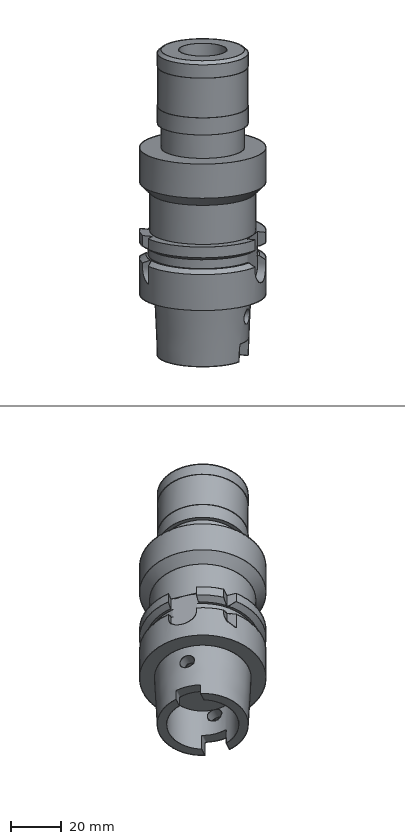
import cadquery as cq

TOTAL_HEIGHT = 125.0
FLANGE_RADIUS = 25.0
BODY_RADIUS = 21.0

TAPER_TOP_RADIUS = 19.1
TAPER_END_RADIUS = 18.0
SHANK_HEIGHT = 25.0
SHANK_BORE_RADIUS = 14.2

GROOVE_RADIUS = 21.6
GROOVE_BOTTOM_Z = 39.8
GROOVE_TOP_Z = 46.6
GROOVE_BEVEL_HEIGHT = 1.5
GROOVE_RIM_RADIUS = 22.5
FLANGE_TOP_Z = 51.0

COLLAR_CONE_START_Z = 67.0
COLLAR_CONE_END_Z = 71.0
COLLAR_TOP_Z = 85.0

NECK_RADIUS = 16.5
HEAD_RADIUS = 18.0
HEAD_WAIST_RADIUS = 17.9
HEAD_BOTTOM_Z = 95.0
HEAD_WAIST_BOTTOM_Z = 102.0
HEAD_WAIST_TOP_Z = 118.2
HEAD_CHAMFER_HEIGHT = 1.2
HEAD_CHAMFER_WIDTH = 1.5
TOOL_BORE_RADIUS = 9.5
TOOL_BORE_DEPTH = 50.0

SLOT_RADIUS = 5.9
SLOT_END_CENTER_Z = 38.0
NOTCH_WALL = 15.6

KEYWAY_WIDTH = 10.2
KEYWAY_CORNER_RADIUS = 0.6
KEYWAY_HEIGHT_NEGATIVE_X = 4.5
KEYWAY_HEIGHT_POSITIVE_X = 7.4
CROSS_HOLE_RADIUS = 3.0
CROSS_HOLE_Z = 17.5
SHANK_BORE_DEPTH = CROSS_HOLE_Z + CROSS_HOLE_RADIUS


def revolved_body():
    """Outer shape, from (radius, z) points turned about Z."""
    profile = [
        (0, 0),
        (TAPER_END_RADIUS, 0),
        (TAPER_TOP_RADIUS, SHANK_HEIGHT),
        (FLANGE_RADIUS, SHANK_HEIGHT),
        (FLANGE_RADIUS, GROOVE_BOTTOM_Z),
        (GROOVE_RIM_RADIUS, GROOVE_BOTTOM_Z + GROOVE_BEVEL_HEIGHT),
        (GROOVE_RADIUS, GROOVE_BOTTOM_Z + GROOVE_BEVEL_HEIGHT),
        (GROOVE_RADIUS, GROOVE_TOP_Z - GROOVE_BEVEL_HEIGHT),
        (GROOVE_RIM_RADIUS, GROOVE_TOP_Z - GROOVE_BEVEL_HEIGHT),
        (FLANGE_RADIUS, GROOVE_TOP_Z),
        (FLANGE_RADIUS, FLANGE_TOP_Z),
        (BODY_RADIUS, FLANGE_TOP_Z),
        (BODY_RADIUS, COLLAR_CONE_START_Z),
        (FLANGE_RADIUS, COLLAR_CONE_END_Z),
        (FLANGE_RADIUS, COLLAR_TOP_Z),
        (NECK_RADIUS, COLLAR_TOP_Z),
        (NECK_RADIUS, HEAD_BOTTOM_Z),
        (HEAD_RADIUS, HEAD_BOTTOM_Z),
        (HEAD_RADIUS, HEAD_WAIST_BOTTOM_Z),
        (HEAD_WAIST_RADIUS, HEAD_WAIST_BOTTOM_Z),
        (HEAD_WAIST_RADIUS, HEAD_WAIST_TOP_Z),
        (HEAD_RADIUS, HEAD_WAIST_TOP_Z),
        (HEAD_RADIUS, TOTAL_HEIGHT - HEAD_CHAMFER_HEIGHT),
        (HEAD_RADIUS - HEAD_CHAMFER_WIDTH, TOTAL_HEIGHT),
        (0, TOTAL_HEIGHT),
    ]
    return cq.Workplane("XZ").polyline(profile).close().revolve(360, (0, 0), (0, 1))


def flange_slot(floor_x, center_y):
    """Cutter for a round-ended slot, from its floor out past the flange on the same X side."""
    length = FLANGE_RADIUS if floor_x > 0 else -FLANGE_RADIUS
    return (
        cq.Workplane("YZ", origin=(floor_x, center_y, 0))
        .moveTo(-SLOT_RADIUS, FLANGE_TOP_Z)
        .lineTo(-SLOT_RADIUS, SLOT_END_CENTER_Z)
        .threePointArc((0, SLOT_END_CENTER_Z - SLOT_RADIUS), (SLOT_RADIUS, SLOT_END_CENTER_Z))
        .lineTo(SLOT_RADIUS, FLANGE_TOP_Z)
        .close()
        .extrude(length)
    )


def keyway(height, side):
    """Cutter for an end keyway on the +X (side = 1) or -X (side = -1) half of the shank."""
    return (
        cq.Workplane("XY")
        .box(FLANGE_RADIUS, KEYWAY_WIDTH, height, centered=(True, True, False))
        .translate((side * FLANGE_RADIUS / 2, 0, 0))
        .edges("|X and >Z")
        .fillet(KEYWAY_CORNER_RADIUS)
    )


def bore(radius, start_z, end_z):
    """Cutter for a round bore on the Z axis."""
    return cq.Workplane("XY", origin=(0, 0, start_z)).circle(radius).extrude(end_z - start_z)


cross_hole = (
    cq.Workplane("YZ")
    .center(0, CROSS_HOLE_Z)
    .circle(CROSS_HOLE_RADIUS)
    .extrude(FLANGE_RADIUS, both=True)
)

result = (
    revolved_body()
    .cut(bore(TOOL_BORE_RADIUS, TOTAL_HEIGHT - TOOL_BORE_DEPTH, TOTAL_HEIGHT))
    .cut(bore(SHANK_BORE_RADIUS, 0, SHANK_BORE_DEPTH))
    .cut(flange_slot(-BODY_RADIUS, 0))
    .cut(flange_slot(BODY_RADIUS, 0))
    .cut(flange_slot(-NOTCH_WALL, -NOTCH_WALL - SLOT_RADIUS))
    .cut(keyway(KEYWAY_HEIGHT_NEGATIVE_X, -1))
    .cut(keyway(KEYWAY_HEIGHT_POSITIVE_X, 1))
    .cut(cross_hole)
)